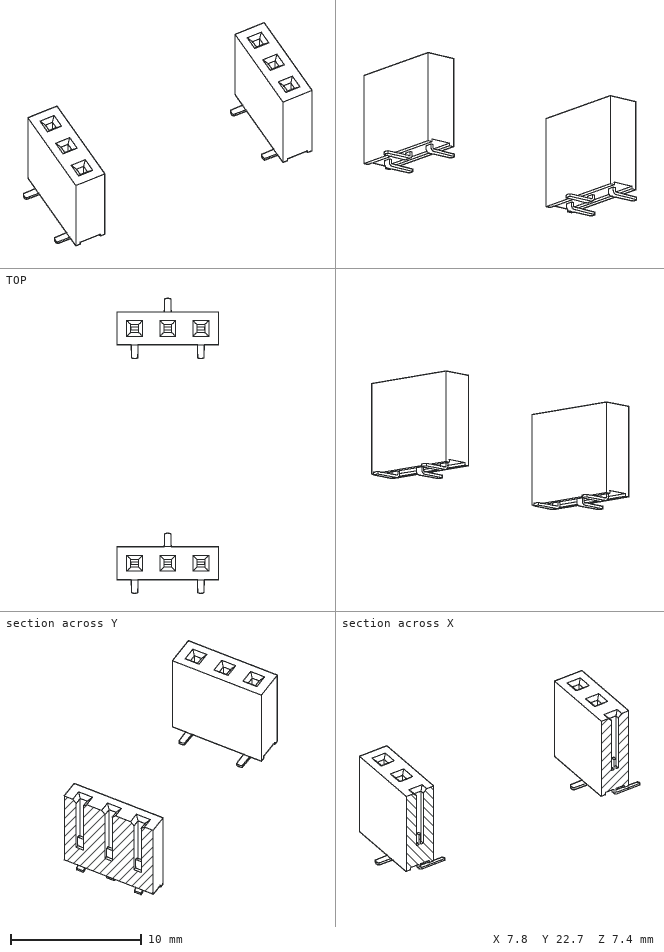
import cadquery as cq
import math

CONNECTOR_SPACING = 18.0
POSITIONS = 3
PITCH = 2.54

HOUSING_LENGTH = 7.8
HOUSING_DEPTH = 2.54
HOUSING_TOP = 7.4
STANDOFF = 0.35
FOOT_DEPTH = 0.4
CHANNEL_HEIGHT = 0.2

MOUTH_SIZE = 1.22
SOCKET_SIZE = 0.6
FUNNEL_DEPTH = (MOUTH_SIZE - SOCKET_SIZE) / 2
SOCKET_DEPTH = 4.98
BLADE_HEIGHT = 0.9

STRIP_THICKNESS = 0.2
STRIP_WIDTH = 0.59
LEAD_TIP_WIDTH = 0.5
CONTACT_SPAN = 4.65
LEAD_REACH = CONTACT_SPAN / 2
TIP_CROWN = 0.07
BEND_INNER_RADIUS = 0.1

CHANNEL_ROOF = STANDOFF + CHANNEL_HEIGHT
SOCKET_FLOOR = HOUSING_TOP - SOCKET_DEPTH
SOCKET_CENTRES = [(i - (POSITIONS - 1) / 2) * PITCH for i in range(POSITIONS)]


def make_housing():
    """Block with a channel along its underside that leaves a foot on each long edge."""
    block_height = HOUSING_TOP - STANDOFF
    block = (
        cq.Workplane("XY")
        .workplane(offset=STANDOFF)
        .box(HOUSING_LENGTH, HOUSING_DEPTH, block_height, centered=(True, True, False))
    )
    channel = (
        cq.Workplane("XY")
        .workplane(offset=STANDOFF)
        .box(HOUSING_LENGTH, HOUSING_DEPTH - 2 * FOOT_DEPTH, CHANNEL_HEIGHT, centered=(True, True, False))
    )
    return block.cut(channel)


def make_socket(x):
    """Square blind hole with a tapered mouth."""
    funnel = (
        cq.Workplane("XY", origin=(x, 0, HOUSING_TOP))
        .rect(MOUTH_SIZE, MOUTH_SIZE)
        .workplane(offset=-FUNNEL_DEPTH)
        .rect(SOCKET_SIZE, SOCKET_SIZE)
        .loft(ruled=True)
    )
    hole = (
        cq.Workplane("XY", origin=(x, 0, SOCKET_FLOOR))
        .rect(SOCKET_SIZE, SOCKET_SIZE)
        .extrude(SOCKET_DEPTH)
    )
    return funnel.union(hole)


def make_blade(x):
    """Top of the contact strip, standing on the socket floor."""
    return (
        cq.Workplane("XY", origin=(x, 0, SOCKET_FLOOR))
        .rect(STRIP_WIDTH, STRIP_THICKNESS)
        .extrude(BLADE_HEIGHT)
    )


def make_lead(x, side):
    """Contact strip leaving the channel roof and bent towards side (+1 is +Y, -1 is -Y)."""
    half_thickness = STRIP_THICKNESS / 2
    outer_radius = BEND_INNER_RADIUS + STRIP_THICKNESS
    bend_y = half_thickness + BEND_INNER_RADIUS
    bend_z = outer_radius
    diagonal = math.sqrt(0.5)
    strip = (
        cq.Workplane("YZ", origin=(x, 0, 0))
        .moveTo(-half_thickness, CHANNEL_ROOF)
        .lineTo(-half_thickness, bend_z)
        .threePointArc(
            (bend_y - outer_radius * diagonal, bend_z - outer_radius * diagonal),
            (bend_y, 0),
        )
        .lineTo(LEAD_REACH, 0)
        .lineTo(LEAD_REACH, STRIP_THICKNESS)
        .lineTo(bend_y, STRIP_THICKNESS)
        .threePointArc(
            (bend_y - BEND_INNER_RADIUS * diagonal, bend_z - BEND_INNER_RADIUS * diagonal),
            (half_thickness, bend_z),
        )
        .lineTo(half_thickness, CHANNEL_ROOF)
        .close()
        .extrude(STRIP_WIDTH / 2, both=True)
    )
    shoulder = LEAD_REACH - TIP_CROWN
    plan = (
        cq.Workplane("XY", origin=(x, 0, 0))
        .moveTo(-STRIP_WIDTH / 2, -half_thickness)
        .lineTo(STRIP_WIDTH / 2, -half_thickness)
        .lineTo(STRIP_WIDTH / 2, bend_y)
        .lineTo(LEAD_TIP_WIDTH / 2, shoulder)
        .threePointArc((0, LEAD_REACH), (-LEAD_TIP_WIDTH / 2, shoulder))
        .lineTo(-STRIP_WIDTH / 2, bend_y)
        .close()
        .extrude(CHANNEL_ROOF)
    )
    lead = strip.intersect(plan)
    return lead if side > 0 else lead.mirror("XZ")


def make_connector(y):
    """One complete connector; its leads leave on alternating sides, the outer ones towards -Y."""
    connector = make_housing()
    for index, x in enumerate(SOCKET_CENTRES):
        side = -1 if index % 2 == 0 else 1
        connector = connector.cut(make_socket(x)).union(make_blade(x)).union(make_lead(x, side))
    return connector.translate((0, y, 0))


connectors = [make_connector(row * CONNECTOR_SPACING / 2) for row in (-1, 1)]

result = cq.Compound.makeCompound([connector.val() for connector in connectors])